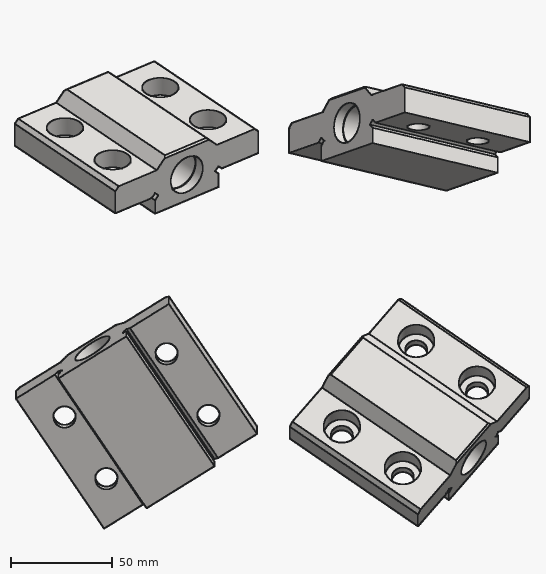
import cadquery as cq

length = 80.0
width = 90.0
height = 31.0

tongue_width = 40.0
flange_bottom = 10.0
flange_top = 25.0
flange_chamfer = 2.2
crown_width = 26.0
crown_rise = height - flange_top
crown_base_width = crown_width + 2 * crown_rise
crown_end_chamfer = 1.0
relief_side = 3.0

bore_diameter = 20.2
bore_height = 15.0
recess_diameter = 21.0
end_land = 6.0

hole_diameter = 11.0
counterbore_diameter = 18.0
counterbore_depth = 10.0
hole_spacing_x = 38.0
hole_spacing_y = 60.0


def extruded_profile():
    """Symmetric cross-section swept along X, centred on the origin."""
    half_outline = [
        (0, 0),
        (tongue_width / 2, 0),
        (tongue_width / 2, flange_bottom),
        (width / 2, flange_bottom),
        (width / 2, flange_top - flange_chamfer),
        (width / 2 - flange_chamfer, flange_top),
        (crown_base_width / 2, flange_top),
        (crown_width / 2, height),
        (0, height),
    ]
    return (
        cq.Workplane("YZ")
        .polyline(half_outline)
        .mirrorY()
        .extrude(length / 2, both=True)
    )


def relief_groove(side):
    """Square groove turned 45 degrees, centred on a tongue-to-flange corner."""
    return (
        cq.Workplane("YZ")
        .center(side * tongue_width / 2, flange_bottom)
        .transformed(rotate=(0, 0, 45))
        .rect(relief_side, relief_side)
        .extrude(length / 2, both=True)
    )


def centred_cylinder(diameter, cylinder_length):
    """Cylinder on the bore axis, centred along X."""
    return (
        cq.Workplane("YZ")
        .center(0, bore_height)
        .circle(diameter / 2)
        .extrude(cylinder_length / 2, both=True)
    )


body = extruded_profile()
body = body.faces(">Z").edges("|Y").chamfer(crown_end_chamfer)

for side in (-1, 1):
    body = body.cut(relief_groove(side))

body = body.cut(centred_cylinder(bore_diameter, length))
body = body.cut(centred_cylinder(recess_diameter, length - 2 * end_land))

result = (
    body.copyWorkplane(cq.Workplane("XY", origin=(0, 0, flange_top)))
    .rarray(hole_spacing_x, hole_spacing_y, 2, 2)
    .cboreHole(hole_diameter, counterbore_diameter, counterbore_depth)
)